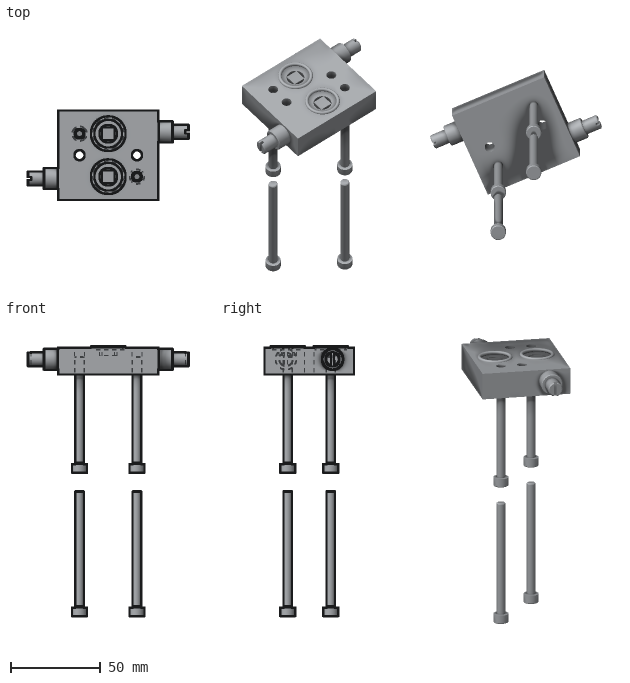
import cadquery as cq


BLOCK_LENGTH = 56.0
BLOCK_WIDTH = 50.0
BLOCK_HEIGHT = 15.0

HOLE_DIAMETER = 5.5
HOLE_X = 16.0
PORT_Y = 12.0
SCREW_POSITIONS = [(-HOLE_X, PORT_Y), (HOLE_X, -PORT_Y)]
HOLE_POSITIONS = SCREW_POSITIONS + [(-HOLE_X, 0), (HOLE_X, 0)]

PORT_POSITIONS = [(0, -PORT_Y), (0, PORT_Y)]
RING_OUTER_DIAMETER = 19.5
RING_SECTION_DIAMETER = 2.0
RING_MID_DIAMETER = RING_OUTER_DIAMETER - RING_SECTION_DIAMETER
RING_TOP = 1.01
RECESS_DEPTH = 1.4
BORE_DIAMETER = 9.9
BORE_DEPTH = 3.0
POST_SIDE = 7.0

ADJUSTER_Y = 13.0
ADJUSTER_Z = -6.5
COLLAR_DIAMETER = 12.0
COLLAR_LENGTH = 8.0
COLLAR_CHAMFER = 0.4
STEM_DIAMETER = 8.0
STEM_LENGTH = 9.0
STEM_CHAMFER = 0.5
SLOT_WIDTH = 1.6
SLOT_DEPTH = 2.0

SHAFT_DIAMETER = 5.0
TIP_CHAMFER = 0.45
NECK_DIAMETER = 4.7
NECK_LENGTH = 0.8
HEAD_DIAMETER = 8.5
HEAD_HEIGHT = 5.0
HEAD_CHAMFER = 0.4
SHORT_SHAFT_LENGTH = 60.0
LONG_SHAFT_LENGTH = 65.0
SHORT_SCREW_BOTTOM = -70.0
LONG_SCREW_BOTTOM = -150.0


def make_ring():
    """Ring of circular section, half let into the wall of the recess, centred on the Z axis."""
    section_radius = RING_SECTION_DIAMETER / 2
    return (
        cq.Workplane("XZ")
        .center(RING_MID_DIAMETER / 2, RING_TOP - section_radius)
        .circle(section_radius)
        .revolve(360, (-RING_MID_DIAMETER / 2, 0, 0), (-RING_MID_DIAMETER / 2, 1, 0))
    )


def make_post():
    """Square post, flush with the recess floor, reaching down to the floor of the bore."""
    return (
        cq.Workplane("XY")
        .workplane(offset=-RECESS_DEPTH)
        .rect(POST_SIDE, POST_SIDE)
        .extrude(-BORE_DEPTH)
    )


def make_adjuster():
    """Adjuster pointing along +X from the +X end face."""
    end_face = BLOCK_LENGTH / 2
    collar = (
        cq.Workplane("YZ")
        .workplane(offset=end_face)
        .center(ADJUSTER_Y, ADJUSTER_Z)
        .circle(COLLAR_DIAMETER / 2)
        .extrude(COLLAR_LENGTH)
        .edges()
        .chamfer(COLLAR_CHAMFER)
    )
    stem_tip = end_face + COLLAR_LENGTH + STEM_LENGTH
    stem = (
        cq.Workplane("YZ")
        .workplane(offset=end_face + COLLAR_LENGTH)
        .center(ADJUSTER_Y, ADJUSTER_Z)
        .circle(STEM_DIAMETER / 2)
        .extrude(STEM_LENGTH)
        .faces(">X")
        .chamfer(STEM_CHAMFER)
    )
    slot = cq.Workplane("XY").box(2 * SLOT_DEPTH, SLOT_WIDTH, 2 * STEM_DIAMETER)
    slot = slot.translate((stem_tip, ADJUSTER_Y, ADJUSTER_Z))
    return collar.union(stem.cut(slot))


def make_block():
    block = cq.Workplane("XY").box(
        BLOCK_LENGTH, BLOCK_WIDTH, BLOCK_HEIGHT, centered=(True, True, False)
    )
    block = block.translate((0, 0, -BLOCK_HEIGHT))

    holes = (
        cq.Workplane("XY")
        .pushPoints(HOLE_POSITIONS)
        .circle(HOLE_DIAMETER / 2)
        .extrude(-BLOCK_HEIGHT)
    )
    recesses = (
        cq.Workplane("XY")
        .pushPoints(PORT_POSITIONS)
        .circle(RING_MID_DIAMETER / 2)
        .extrude(-RECESS_DEPTH)
    )
    bores = (
        cq.Workplane("XY")
        .workplane(offset=-RECESS_DEPTH)
        .pushPoints(PORT_POSITIONS)
        .circle(BORE_DIAMETER / 2)
        .extrude(-BORE_DEPTH)
    )
    block = block.cut(holes).cut(recesses).cut(bores)

    for x, y in PORT_POSITIONS:
        block = block.union(make_ring().translate((x, y, 0)))
        block = block.union(make_post().translate((x, y, 0)))

    for angle in (0, 180):
        block = block.union(make_adjuster().rotate((0, 0, 0), (0, 0, 1), angle))
    return block


def make_screw(shaft_length, x, y, bottom):
    """Upright screw with its head at the bottom; the shaft length includes the neck."""
    head = (
        cq.Workplane("XY")
        .circle(HEAD_DIAMETER / 2)
        .extrude(HEAD_HEIGHT)
        .faces("<Z")
        .chamfer(HEAD_CHAMFER)
    )
    neck = (
        cq.Workplane("XY")
        .workplane(offset=HEAD_HEIGHT)
        .circle(NECK_DIAMETER / 2)
        .extrude(NECK_LENGTH)
    )
    shaft = (
        cq.Workplane("XY")
        .workplane(offset=HEAD_HEIGHT + NECK_LENGTH)
        .circle(SHAFT_DIAMETER / 2)
        .extrude(shaft_length - NECK_LENGTH)
        .faces(">Z")
        .chamfer(TIP_CHAMFER)
    )
    return head.union(neck).union(shaft).translate((x, y, bottom))


block = make_block()
short_screws = [
    make_screw(SHORT_SHAFT_LENGTH, x, y, SHORT_SCREW_BOTTOM) for x, y in SCREW_POSITIONS
]
long_screws = [
    make_screw(LONG_SHAFT_LENGTH, x, y, LONG_SCREW_BOTTOM) for x, y in SCREW_POSITIONS
]

result = cq.Compound.makeCompound(
    [block.val()] + [screw.val() for screw in short_screws + long_screws]
)